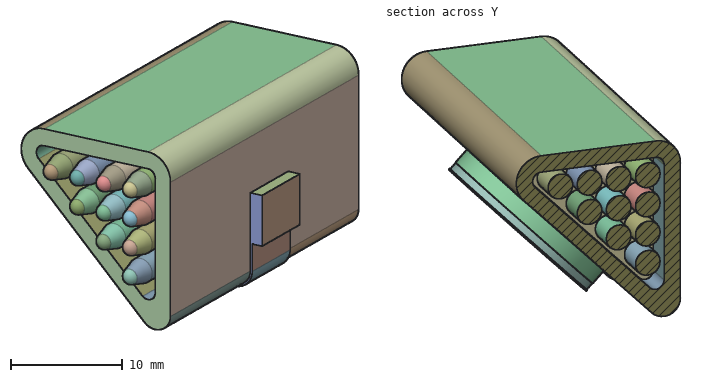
import cadquery as cq
import math


overall_length = 34.4
body_width = 15.82
body_length = 32.03
top_radius = 2.4
bottom_radius = 1.6
fillet_setback = 1 / math.tan(math.radians(22.5))
leg = body_width + (fillet_setback - 1) * top_radius

wall = 1.6
recess_radius = 0.8
recess_depth = 5.5

pin_diameter = 2.4
pin_rows = 4
pin_span = 8.4
pin_pitch = pin_span / (pin_rows - 1)
pin_from_side = 3.15
pin_from_top = 3.2
pin_reach = overall_length - body_length
dome_height = 0.55
dome_base_diameter = 1.5

dome_base = dome_base_diameter / 2
dome_radius = (dome_base**2 + dome_height**2) / (2 * dome_height)
dome_half_angle = math.asin(dome_base / dome_radius) / 2
dome_mid = (
    dome_radius * math.sin(dome_half_angle),
    -pin_reach + dome_radius * (1 - math.cos(dome_half_angle)),
)

lip_diameter = 16.55
disc_height = 2.48
base_diameter = 16.48
base_height = 1.58
band_diameter = 16.4
lip_height = 0.15

tab_length = 6.45
tab_height = 4.9
tab_thickness = 1.25
tab_from_top = 7.85
tab_start = 13.6
strap_thickness = 0.2
strap_reach = leg / 4


def triangle_prism(inset, upper_radius, lower_radius, start, length):
    """Prism whose faces lie `inset` inside the sharp body triangle, with rounded long edges."""
    inner_leg = leg - (2 + math.sqrt(2)) * inset
    corner = -inset
    far_corner = corner - inner_leg
    outline = [(corner, corner), (far_corner, corner), (corner, far_corner)]
    prism = (
        cq.Workplane("XZ", origin=(0, start, 0))
        .polyline(outline)
        .close()
        .extrude(-length)
    )
    prism = prism.edges("|Y").edges(">Z").fillet(upper_radius)
    return prism.edges("|Y").edges("<Z").fillet(lower_radius)


def make_pin(x, z):
    """Cylinder from the recess floor to the front face, then a cone, then a domed tip."""
    cone_end = dome_height - pin_reach
    profile = (
        cq.Workplane("XY")
        .moveTo(0, recess_depth)
        .lineTo(pin_diameter / 2, recess_depth)
        .lineTo(pin_diameter / 2, 0)
        .lineTo(dome_base_diameter / 2, cone_end)
        .threePointArc(dome_mid, (0, -pin_reach))
        .close()
    )
    return profile.revolve(360, (0, 0, 0), (0, 1, 0)).translate((x, 0, z))


body = triangle_prism(0, top_radius, bottom_radius, 0, body_length)
recess = triangle_prism(wall, recess_radius, recess_radius, 0, recess_depth)
result = body.cut(recess)

for row in range(pin_rows):
    for column in range(pin_rows - row):
        pin = make_pin(-pin_from_side - column * pin_pitch, -pin_from_top - row * pin_pitch)
        result = result.union(pin)

flat_shift = fillet_setback * (top_radius - bottom_radius) / 2 / math.sqrt(2)
disc_plane = cq.Plane(
    origin=(-leg / 2 + flat_shift, body_length / 2, -leg / 2 - flat_shift),
    xDir=(0, 1, 0),
    normal=(-1, 0, -1),
)
base = cq.Workplane(disc_plane).circle(base_diameter / 2).extrude(base_height)
band = cq.Workplane(disc_plane).circle(band_diameter / 2).extrude(disc_height)
lip = (
    cq.Workplane(disc_plane)
    .workplane(offset=disc_height - lip_height)
    .circle(lip_diameter / 2)
    .extrude(lip_height)
)
disc = base.union(band).union(lip)

tab = cq.Workplane("XY").box(tab_thickness, tab_length, tab_height, centered=False)
tab = tab.translate((0, tab_start, -tab_from_top - tab_height))

strap_skin = triangle_prism(
    -strap_thickness, top_radius, bottom_radius + strap_thickness, tab_start, tab_length
)
strap_zone = cq.Workplane("XY").box(2 * strap_reach, body_length, leg, centered=False)
strap_zone = strap_zone.translate((-strap_reach, 0, -tab_from_top - leg))
strap = strap_skin.intersect(strap_zone).cut(body)

result = result.union(disc).union(tab).union(strap)